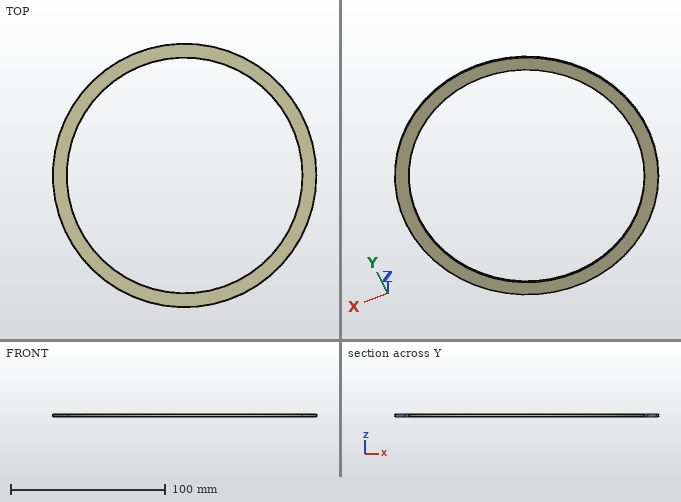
import cadquery as cq

outer_diameter = 171.0
inner_diameter = 152.0
thickness = 2.0
edge_chamfer = thickness / 4

ring = (
    cq.Workplane("XY")
    .circle(outer_diameter / 2)
    .circle(inner_diameter / 2)
    .extrude(thickness)
)

result = ring.faces("|Z").edges().chamfer(edge_chamfer)